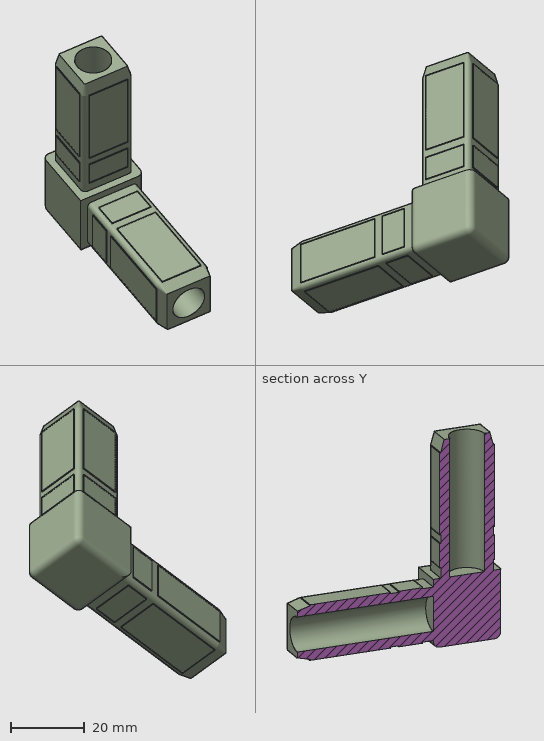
import cadquery as cq

overall_length = 60.0
block_size = overall_length / 3
block_fillet = 2.0

leg_width = 15.6
leg_corner_radius = 1.3
tip_length = 3.7
tip_taper_angle = 15.0
bore_diameter = 10.0

pad_width = 12.25
pad_height = 0.3
pad_gap = 2.45
short_pad_start = 23.05
short_pad_end = 30.05

leg_length = overall_length - block_size
tip_start = overall_length - tip_length
long_pad_start = short_pad_end + pad_gap


def make_block():
    """Corner cube centred on the origin in X and Y, standing on Z = 0."""
    block = cq.Workplane("XY").box(block_size, block_size, block_size, centered=(True, True, False))
    rounded = block.edges("|Z and (<X or >Y)")
    return rounded.add(block.faces("<Z").edges()).fillet(block_fillet)


def make_pad_ring(start, end):
    """Two crossed bars whose ends stand proud of the four leg sides."""
    span = leg_width + 2 * pad_height
    base = cq.Workplane("XY").workplane(offset=start)
    return base.rect(span, pad_width).extrude(end - start).union(
        base.rect(pad_width, span).extrude(end - start)
    )


def make_leg():
    """Upright leg on top of the block, with a tapered tip, pads and a blind bore."""
    shank = (
        cq.Workplane("XY")
        .workplane(offset=block_size)
        .rect(leg_width, leg_width)
        .extrude(tip_start - block_size)
        .edges("|Z")
        .fillet(leg_corner_radius)
    )
    tip = shank.faces(">Z").wires().toPending().workplane().extrude(
        tip_length, combine=False, taper=tip_taper_angle
    )
    bore = cq.Workplane("XY").workplane(offset=block_size).circle(bore_diameter / 2).extrude(leg_length)
    leg = shank.union(tip)
    leg = leg.union(make_pad_ring(short_pad_start, short_pad_end))
    leg = leg.union(make_pad_ring(long_pad_start, tip_start))
    return leg.cut(bore)


block_centre = (0, 0, block_size / 2)
axis_end = (0, 1, block_size / 2)
upright_leg = make_leg()
side_leg = upright_leg.rotate(block_centre, axis_end, 90)

result = make_block().union(upright_leg).union(side_leg)